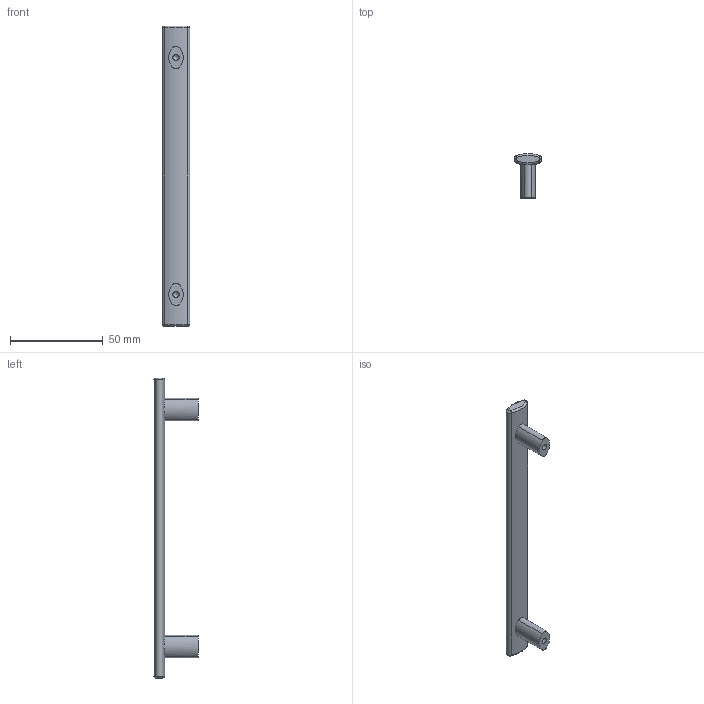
import cadquery as cq
import math

BAR_LENGTH = 162.0
BAR_WIDTH = 15.0
BAR_THICKNESS = 6.0
TOTAL_DEPTH = 24.0

BAR_SIDE_RADIUS = 2.0
BAR_END_FILLET = 1.0

POST_SPACING = 128.0
POST_HEIGHT = 12.0
POST_WIDTH = 8.0
POST_TIP_RADIUS = 2.5
POST_LENGTH = TOTAL_DEPTH - BAR_THICKNESS / 2

HOLE_DIAMETER = 3.3
HOLE_DEPTH = 15.0
DRILL_POINT_ANGLE = 118.0

POST_FACE_Y = -POST_LENGTH


def oval(plane, long_axis, short_axis, tip_radius):
    """Closed oval of four tangent arcs, long axis along the plane's local X."""
    half_long = long_axis / 2
    half_short = short_axis / 2
    tip_center = half_long - tip_radius

    flank_radius = (tip_center**2 + half_short**2 - tip_radius**2) / (2 * (half_short - tip_radius))
    flank_center = flank_radius - half_short

    scale = flank_radius / (flank_radius - tip_radius)
    joint_x = tip_center * scale
    joint_y = flank_center * scale - flank_center

    return (
        cq.Workplane(plane)
        .moveTo(-joint_x, joint_y)
        .threePointArc((0, half_short), (joint_x, joint_y))
        .threePointArc((half_long, 0), (joint_x, -joint_y))
        .threePointArc((0, -half_short), (-joint_x, -joint_y))
        .threePointArc((-half_long, 0), (-joint_x, joint_y))
        .close()
    )


def grip_bar():
    """Upright bar with both end rims rounded over."""
    section_plane = cq.Plane(origin=(0, 0, -BAR_LENGTH / 2), xDir=(1, 0, 0), normal=(0, 0, 1))
    bar = oval(section_plane, BAR_WIDTH, BAR_THICKNESS, BAR_SIDE_RADIUS).extrude(BAR_LENGTH)
    return bar.faces("<Z or >Z").edges().fillet(BAR_END_FILLET)


def post(z):
    """Oval post running from the free end to the middle of the bar."""
    section_plane = cq.Plane(origin=(0, POST_FACE_Y, z), xDir=(0, 0, 1), normal=(0, 1, 0))
    return oval(section_plane, POST_HEIGHT, POST_WIDTH, POST_TIP_RADIUS).extrude(POST_LENGTH)


def screw_hole(z):
    """Drilled volume entering the free end of a post: a cylinder with a conical bottom."""
    radius = HOLE_DIAMETER / 2
    point_length = radius / math.tan(math.radians(DRILL_POINT_ANGLE / 2))
    cone_start_y = POST_FACE_Y + HOLE_DEPTH
    return (
        cq.Workplane("XY", origin=(0, 0, z))
        .moveTo(0, POST_FACE_Y)
        .lineTo(radius, POST_FACE_Y)
        .lineTo(radius, cone_start_y)
        .lineTo(0, cone_start_y + point_length)
        .close()
        .revolve(360, (0, 0), (0, 1))
    )


result = grip_bar()
for post_z in (-POST_SPACING / 2, POST_SPACING / 2):
    result = result.union(post(post_z)).cut(screw_hole(post_z))